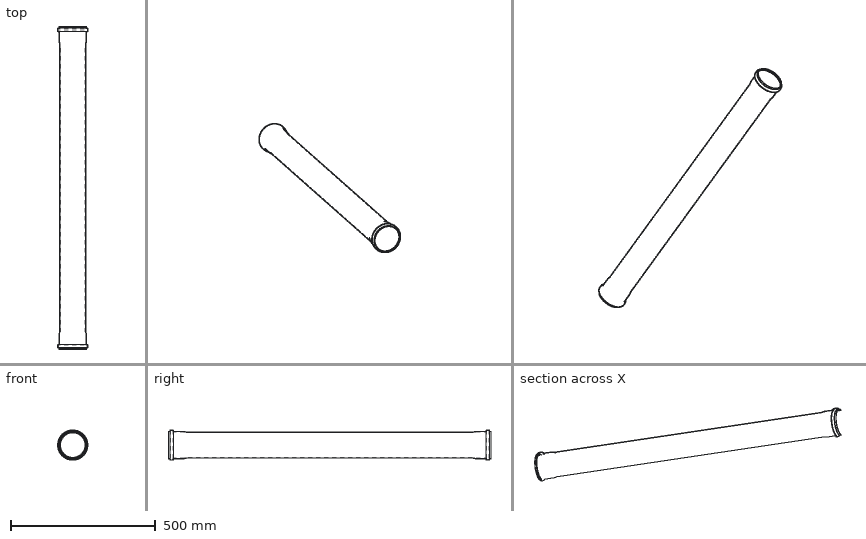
import cadquery as cq
total_length = 1116.0
end_y = total_length / 2

pipe_outer = 90.2
pipe_bore = 85.4

socket_wall = 2.1
socket_outer = 94.7
bead_outer = 104.5
lip_outer = 95.0
bead_corner_radius = 2.4
bead_root_radius = 2.1

lip_length = 5.2
bead_end = 17.3
socket_end = 54.0
transition_end = 64.0


def pipe_tube():
    """Plain tube between the two sockets."""
    length = total_length - 2 * transition_end
    start = cq.Workplane("XZ", origin=(0, length / 2, 0))
    return start.circle(pipe_outer / 2).circle(pipe_bore / 2).extrude(length)


def socket_body(pipe_diameter, inset):
    """Solid from the plain pipe to the +Y mouth, with every socket surface moved in by inset."""
    pipe_radius = pipe_diameter / 2
    socket_radius = socket_outer / 2 - inset
    bead_radius = bead_outer / 2 - inset
    lip_radius = lip_outer / 2 - inset

    flank_back_y = end_y - bead_end + inset
    flank_front_y = end_y - lip_length - inset
    corner = bead_corner_radius - inset
    root = bead_root_radius + inset

    return (
        cq.Workplane("XY")
        .moveTo(0, end_y - transition_end)
        .lineTo(pipe_radius, end_y - transition_end)
        .lineTo(socket_radius, end_y - socket_end)
        .lineTo(socket_radius, flank_back_y - root)
        .radiusArc((socket_radius + root, flank_back_y), root)
        .lineTo(bead_radius - corner, flank_back_y)
        .radiusArc((bead_radius, flank_back_y + corner), -corner)
        .lineTo(bead_radius, flank_front_y - corner)
        .radiusArc((bead_radius - corner, flank_front_y), -corner)
        .lineTo(lip_radius, flank_front_y)
        .lineTo(lip_radius, end_y)
        .lineTo(0, end_y)
        .close()
        .revolve(360, (0, 0, 0), (0, 1, 0))
    )


def socket():
    """Hollow socket at the +Y end."""
    outside = socket_body(pipe_outer, 0.0)
    bore = socket_body(pipe_bore, socket_wall)
    return outside.cut(bore)


mouth_socket = socket()
result = pipe_tube().union(mouth_socket).union(mouth_socket.mirror("XZ"))